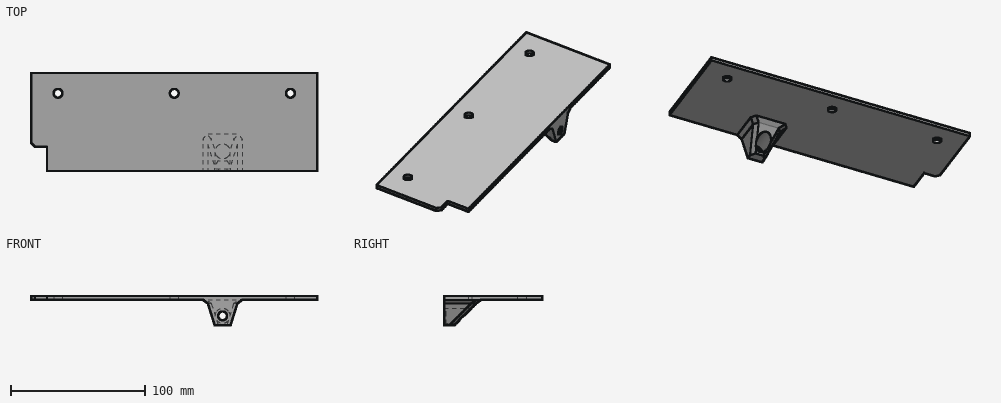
import cadquery as cq
import math

plate_length = 213.0
plate_width = 73.0
plate_thickness = 3.0
notch_length = 11.7
notch_width = 18.0
corner_chamfer = 2.8

hole_diameter = 6.4
hole_end_inset = 20.0
hole_back_inset = 15.1

total_height = 22.0
lug_height = total_height - plate_thickness
lug_center_x = 142.5
lug_tip_half_width = 6.0
lug_root_half_width = 12.0
lug_tip_depth = 7.7
lug_root_depth = lug_tip_depth + lug_height
bevel_run_x = 2.8
bevel_run_y = 3.8
flare_height = 2.8
flare_outset = 2.8
flare_back_outset = 0.9
counterbore_diameter = 11.0
counterbore_floor = 1.5
lug_hole_height = 7.0


def make_plate():
    """Flat plate with a notched, chamfered corner and a row of holes."""
    plate = (
        cq.Workplane("XY")
        .moveTo(notch_length, 0)
        .lineTo(plate_length, 0)
        .lineTo(plate_length, plate_width)
        .lineTo(0, plate_width)
        .lineTo(0, notch_width + corner_chamfer)
        .lineTo(corner_chamfer, notch_width)
        .lineTo(notch_length, notch_width)
        .close()
        .extrude(plate_thickness)
    )
    hole_y = plate_width - hole_back_inset
    hole_xs = (hole_end_inset, plate_length / 2, plate_length - hole_end_inset)
    holes = (
        cq.Workplane("XY")
        .pushPoints([(x, hole_y) for x in hole_xs])
        .circle(hole_diameter / 2)
        .extrude(plate_thickness)
    )
    return plate.cut(holes)


def lug_section(height, outset, back_outset):
    """Lug cross-section at the given Z.

    The sides and bevels move outwards by outset, the back edge by back_outset.
    """
    side_slope = (lug_root_half_width - lug_tip_half_width) / lug_height
    half_width = lug_root_half_width + side_slope * height
    depth = lug_root_depth + height + back_outset
    bevel_length = math.hypot(bevel_run_x, bevel_run_y)
    side_x = half_width + outset
    bevel_shift = (outset * bevel_length - back_outset * bevel_run_x) / bevel_run_y
    back_x = half_width - bevel_run_x + bevel_shift
    side_y = depth - (side_x - back_x) * bevel_run_y / bevel_run_x
    right_half = [(side_x, 0), (side_x, side_y), (back_x, depth)]
    left_half = [(-x, y) for x, y in reversed(right_half)]
    return (
        cq.Workplane("XY", origin=(lug_center_x, 0, height))
        .polyline(right_half + left_half)
        .close()
        .wires()
        .val()
    )


def make_lug():
    """Tapered lug with a back sloping up to the plate and bevelled back edges."""
    sections = [lug_section(-lug_height, 0, 0), lug_section(0, 0, 0)]
    return cq.Workplane("XY").add(cq.Solid.makeLoft(sections, True))


def make_root_flare():
    """Straight flare where the sides and back bevels of the lug meet the plate."""
    sections = [lug_section(-flare_height, 0, 0), lug_section(0, flare_outset, flare_back_outset)]
    return cq.Workplane("XY").add(cq.Solid.makeLoft(sections, True))


def make_lug_hole():
    """Hole running front to back through the lug, counterbored from the back."""
    front_plane = cq.Workplane("XZ", origin=(lug_center_x, 0, lug_hole_height - lug_height))
    hole = front_plane.circle(hole_diameter / 2).extrude(-lug_root_depth)
    counterbore = (
        front_plane.workplane(offset=-counterbore_floor)
        .circle(counterbore_diameter / 2)
        .extrude(counterbore_floor - lug_root_depth)
    )
    return hole.union(counterbore)


body = make_plate().union(make_lug()).union(make_root_flare())
result = body.cut(make_lug_hole())